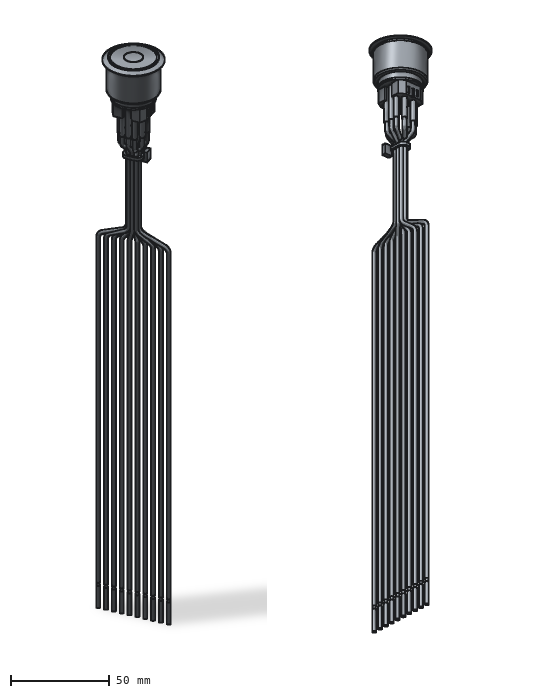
import cadquery as cq
import math


BEZEL_DIA = 32.0
BEZEL_TOP_DIA = 26.29
BEZEL_SLOPE_HEIGHT = 1.5
BEZEL_RIM = 0.3
NECK_BOTTOM_Z = -3.4
BODY_DIA = 27.9
BODY_BOTTOM_Z = -20.2
BODY_CHAMFER_WIDTH = 0.6
BODY_CHAMFER_HEIGHT = 1.0
BASE_DIA = 22.8
BASE_RIM_DIA = 23.1
BASE_RIM_TOP_Z = -23.5
BASE_BOTTOM_Z = -24.7
CAP_GAP_OUTER_DIA = 26.0
CAP_GAP_WIDTH = 1.0
CAP_GAP_DEPTH = 0.5
LENS_DIA = 10.0
LENS_RING_WIDTH = 0.1
LENS_RING_DEPTH = 0.2

BLOCK_WIDTH_X = 19.2
BLOCK_WIDTH_Y = 17.0
BLOCK_FLAT_X = 15.0
BLOCK_FLAT_Y = 9.6
BLOCK_BOTTOM_Z = -32.6
NOTCH_WIDTH = 5.0
NOTCH_DEPTH = 2.2
WINDOW_OFFSET_Y = 3.0
WINDOW_WIDTH = 1.2
WINDOW_TOP_Z = -27.6
WINDOW_BOTTOM_Z = -31.0
SIDE_CUT_DEPTH = 0.8

WIRE_DIA = 2.2
SLEEVE_WIDTH = 2.6
SLEEVE_LENGTH = 3.0
SLEEVE_BOTTOM_Z = -44.5
NECK_DIA = 1.75
LEAD_COUNT = 10
TERMINAL_MID_Y = 6.2
TERMINAL_INNER_X = 3.5
TERMINAL_OUTER_X = 6.2
TERMINAL_OUTER_Y = 3.0
GATHER_TOP_Z = -50.0
GATHER_BOTTOM_Z = -56.0
GATHER_BEND_RADIUS = 3.0
BUNDLE_PITCH = 2.15
BUNDLE_ROW_Y = 1.5
FAN_TOP_Z = -103.0
FAN_BOTTOM_Z = -109.5
FAN_BEND_RADIUS = 4.0
OUTER_WIDTH = 41.8
END_PITCH = (OUTER_WIDTH - WIRE_DIA) / (LEAD_COUNT - 1)
INSULATION_BOTTOM_Z = -317.6
FERRULE_TOP_Z = -319.5
LEAD_BOTTOM_Z = -332.5

TIE_TOP_Z = -57.5
TIE_BOTTOM_Z = -59.3
TIE_WIDTH_X = 11.0
TIE_WIDTH_Y = 7.0
TIE_CORNER = 3.0
TIE_HEAD_X = (4.2, 6.7)
TIE_HEAD_Y = (2.0, 6.6)
TIE_HEAD_Z = (-62.3, -56.4)


def cylinder(diameter, bottom_z, top_z, x=0, y=0):
    base = cq.Workplane("XY", origin=(x, y, bottom_z))
    return base.circle(diameter / 2).extrude(top_z - bottom_z)


def ring(outer_dia, width, depth):
    """Ring reaching down from the top face."""
    base = cq.Workplane("XY", origin=(0, 0, -depth))
    return base.circle(outer_dia / 2).circle(outer_dia / 2 - width).extrude(depth)


def box(x_range, y_range, z_range):
    corner = (x_range[0], y_range[0], z_range[0])
    sizes = (x_range[1] - x_range[0], y_range[1] - y_range[0], z_range[1] - z_range[0])
    return cq.Workplane("XY", origin=corner).box(*sizes, centered=False)


def make_head():
    """Turned head: sloped bezel, neck, barrel and stepped base."""
    bezel_bottom_z = -BEZEL_SLOPE_HEIGHT - BEZEL_RIM
    profile = [
        (0, 0),
        (BEZEL_TOP_DIA / 2, 0),
        (BEZEL_DIA / 2, -BEZEL_SLOPE_HEIGHT),
        (BEZEL_DIA / 2, bezel_bottom_z),
        (BEZEL_TOP_DIA / 2, bezel_bottom_z),
        (BEZEL_TOP_DIA / 2, NECK_BOTTOM_Z),
        (BODY_DIA / 2, NECK_BOTTOM_Z),
        (BODY_DIA / 2, BODY_BOTTOM_Z + BODY_CHAMFER_HEIGHT),
        (BODY_DIA / 2 - BODY_CHAMFER_WIDTH, BODY_BOTTOM_Z),
        (BASE_DIA / 2, BODY_BOTTOM_Z),
        (BASE_DIA / 2, BASE_RIM_TOP_Z),
        (BASE_RIM_DIA / 2, BASE_RIM_TOP_Z),
        (BASE_RIM_DIA / 2, BASE_BOTTOM_Z),
        (0, BASE_BOTTOM_Z),
    ]
    head = cq.Workplane("XZ").polyline(profile).close().revolve(360, (0, 0, 0), (0, 1, 0))
    head = head.cut(ring(CAP_GAP_OUTER_DIA, CAP_GAP_WIDTH, CAP_GAP_DEPTH))
    return head.cut(ring(LENS_DIA, LENS_RING_WIDTH, LENS_RING_DEPTH))


def make_block():
    """Block with a notch on each Y side; two windows and a middle slot on each X side."""
    half_x = BLOCK_WIDTH_X / 2
    half_y = BLOCK_WIDTH_Y / 2
    block = box((-half_x, half_x), (-half_y, half_y), (BLOCK_BOTTOM_Z, BASE_BOTTOM_Z))
    bevel_x = (BLOCK_WIDTH_X - BLOCK_FLAT_X) / 2
    bevel_y = (BLOCK_WIDTH_Y - BLOCK_FLAT_Y) / 2
    for side_x in (-1, 1):
        for side_y in (-1, 1):
            corner = [
                (side_x * half_x, side_y * half_y),
                (side_x * (half_x - bevel_x), side_y * half_y),
                (side_x * half_x, side_y * (half_y - bevel_y)),
            ]
            wedge = cq.Workplane("XY", origin=(0, 0, BLOCK_BOTTOM_Z)).polyline(corner).close()
            block = block.cut(wedge.extrude(BASE_BOTTOM_Z - BLOCK_BOTTOM_Z))

    notch_z = (BLOCK_BOTTOM_Z, BASE_BOTTOM_Z)
    notch_x = (-NOTCH_WIDTH / 2, NOTCH_WIDTH / 2)
    block = block.cut(box(notch_x, (half_y - NOTCH_DEPTH, half_y), notch_z))
    block = block.cut(box(notch_x, (-half_y, NOTCH_DEPTH - half_y), notch_z))

    cut_bottoms = {
        -WINDOW_OFFSET_Y: WINDOW_BOTTOM_Z,
        0: BLOCK_BOTTOM_Z,
        WINDOW_OFFSET_Y: WINDOW_BOTTOM_Z,
    }
    for center_y, bottom_z in cut_bottoms.items():
        cut_y = (center_y - WINDOW_WIDTH / 2, center_y + WINDOW_WIDTH / 2)
        cut_z = (bottom_z, WINDOW_TOP_Z)
        block = block.cut(box((half_x - SIDE_CUT_DEPTH, half_x), cut_y, cut_z))
        block = block.cut(box((-half_x, SIDE_CUT_DEPTH - half_x), cut_y, cut_z))
    return block


def terminal_places():
    """Terminal centres, from -X to +X."""
    columns = [
        (-TERMINAL_OUTER_X, TERMINAL_OUTER_Y),
        (-TERMINAL_INNER_X, TERMINAL_MID_Y),
        (0, TERMINAL_MID_Y),
        (TERMINAL_INNER_X, TERMINAL_MID_Y),
        (TERMINAL_OUTER_X, TERMINAL_OUTER_Y),
    ]
    return [(x, side * y) for x, y in columns for side in (-1, 1)]


def sleeve_angle(terminal):
    """Direction of the long side: along X for the outermost sleeves, radial for the others."""
    x, y = terminal
    if abs(x) == TERMINAL_OUTER_X:
        return 0
    return math.degrees(math.atan2(y, x))


def make_sleeve(terminal):
    """Straight-sided sleeve with round ends over the top of one lead."""
    base = cq.Workplane("XY", origin=(*terminal, SLEEVE_BOTTOM_Z))
    outline = base.slot2D(SLEEVE_LENGTH, SLEEVE_WIDTH, sleeve_angle(terminal))
    return outline.extrude(BASE_BOTTOM_Z - SLEEVE_BOTTOM_Z)


def bundle_places():
    """Lead centres in the bundle: rows of three, four and three, from -X to +X."""
    rows = [(-BUNDLE_ROW_Y, 3), (0, 4), (BUNDLE_ROW_Y, 3)]
    places = []
    for row_y, count in rows:
        for i in range(count):
            places.append(((i - (count - 1) / 2) * BUNDLE_PITCH, row_y))
    return sorted(places)


def rounded_path(points, radii):
    """Wire through the points, with each inner corner rounded to its radius."""
    edges = []
    start = points[0]
    for before, corner, after, radius in zip(points, points[1:], points[2:], radii):
        back = (before - corner).normalized()
        ahead = (after - corner).normalized()
        half_angle = back.getAngle(ahead) / 2
        setback = radius / math.tan(half_angle)
        bisector = (back + ahead).normalized()
        arc_start = corner + back * setback
        arc_middle = corner + bisector * (radius / math.sin(half_angle) - radius)
        arc_end = corner + ahead * setback
        edges.append(cq.Edge.makeLine(start, arc_start))
        edges.append(cq.Edge.makeThreePointArc(arc_start, arc_middle, arc_end))
        start = arc_end
    edges.append(cq.Edge.makeLine(start, points[-1]))
    return cq.Wire.assembleEdges(edges)


def make_lead(terminal, bundle, end_x):
    """One lead: sleeve, insulated wire, bare neck and ferrule."""
    points = [
        cq.Vector(*terminal, BLOCK_BOTTOM_Z),
        cq.Vector(*terminal, GATHER_TOP_Z),
        cq.Vector(*bundle, GATHER_BOTTOM_Z),
        cq.Vector(*bundle, FAN_TOP_Z),
        cq.Vector(end_x, 0, FAN_BOTTOM_Z),
        cq.Vector(end_x, 0, INSULATION_BOTTOM_Z),
    ]
    radii = [GATHER_BEND_RADIUS] * 2 + [FAN_BEND_RADIUS] * 2
    path = cq.Workplane("XY").newObject([rounded_path(points, radii)])
    section = cq.Workplane("XY", origin=points[0].toTuple()).circle(WIRE_DIA / 2)
    lead = section.sweep(path)
    lead = lead.union(make_sleeve(terminal))
    lead = lead.union(cylinder(NECK_DIA, FERRULE_TOP_Z, INSULATION_BOTTOM_Z, end_x))
    return lead.union(cylinder(WIRE_DIA, LEAD_BOTTOM_Z, FERRULE_TOP_Z, end_x))


def make_tie():
    """Cable tie: a rounded band filled by the leads, and its lock at one corner."""
    base = cq.Workplane("XY", origin=(0, 0, TIE_BOTTOM_Z))
    band = base.rect(TIE_WIDTH_X, TIE_WIDTH_Y).extrude(TIE_TOP_Z - TIE_BOTTOM_Z)
    band = band.edges("|Z").fillet(TIE_CORNER)
    return band.union(box(TIE_HEAD_X, TIE_HEAD_Y, TIE_HEAD_Z))


result = make_head().union(make_block())
for index, (terminal, bundle) in enumerate(zip(terminal_places(), bundle_places())):
    end_x = (index - (LEAD_COUNT - 1) / 2) * END_PITCH
    result = result.union(make_lead(terminal, bundle, end_x))
result = result.union(make_tie())